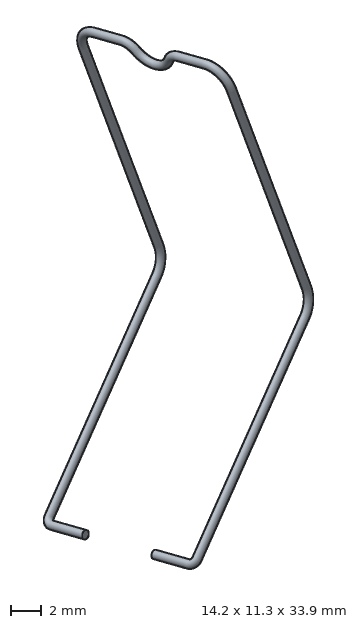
import cadquery as cq
import math

wire_diameter = 0.65
overall_width = 14.15
overall_height = 33.85
lower_height = 15.85
upper_height = overall_height - wire_diameter - lower_height
leg_x = (overall_width - wire_diameter) / 2

upper_tilt = math.radians(25)
lower_tilt = math.radians(35)
elbow_radius = 2.0
shoulder_radius = 1.65
foot_radius = 0.5
foot_gap = 6.33

dip_half_width = 2.6
dip_depth = 1.35
dip_radius = 1.83
dip_angle = 2 * math.atan(dip_depth / dip_half_width)
dip_entry_radius = dip_half_width / math.sin(dip_angle) - dip_radius


def upper_point(x, drop):
    """Point in the tilted upper plane, a distance below the top bar centreline."""
    z = upper_height - drop * math.cos(upper_tilt)
    y = elbow_radius / math.cos(upper_tilt) - z * math.tan(upper_tilt)
    return cq.Vector(x, y, z)


def lower_point(x, rise):
    """Point in the tilted lower plane, a distance above the foot centreline."""
    z = -lower_height + rise * math.cos(lower_tilt)
    y = elbow_radius / math.cos(lower_tilt) + z * math.tan(lower_tilt)
    return cq.Vector(x, y, z)


def elbow_point(angle):
    """Point on the elbow arc, at an angle above horizontal."""
    return cq.Vector(leg_x, elbow_radius * math.cos(angle), elbow_radius * math.sin(angle))


def dip_point(angle):
    """Point on the central dip arc, at an angle from its lowest point."""
    drop = dip_depth - dip_radius * (1 - math.cos(angle))
    return upper_point(dip_radius * math.sin(angle), drop)


def dip_entry_point(angle):
    """Point on the arc joining the bar to the dip, at an angle from the bar end."""
    x = dip_half_width - dip_entry_radius * math.sin(angle)
    return upper_point(x, dip_entry_radius * (1 - math.cos(angle)))


def corner_points(plane_point, radius):
    """Start, middle and end of a quarter bend from a horizontal run to the leg."""
    mid_offset = radius * (1 - math.sqrt(0.5))
    return (
        plane_point(leg_x - radius, 0),
        plane_point(leg_x - mid_offset, mid_offset),
        plane_point(leg_x, radius),
    )


def half_centreline():
    """Wire centreline on the +X side, from the dip bottom to the foot tip."""
    shoulder = corner_points(upper_point, shoulder_radius)
    foot = corner_points(lower_point, foot_radius)
    elbow_top = elbow_point(upper_tilt)
    elbow_mid = elbow_point((upper_tilt - lower_tilt) / 2)
    elbow_bottom = elbow_point(-lower_tilt)
    line = cq.Edge.makeLine
    arc = cq.Edge.makeThreePointArc
    return cq.Wire.assembleEdges([
        arc(dip_point(0), dip_point(dip_angle / 2), dip_point(dip_angle)),
        arc(dip_entry_point(dip_angle), dip_entry_point(dip_angle / 2), dip_entry_point(0)),
        line(dip_entry_point(0), shoulder[0]),
        arc(*shoulder),
        line(shoulder[2], elbow_top),
        arc(elbow_top, elbow_mid, elbow_bottom),
        line(elbow_bottom, foot[2]),
        arc(*reversed(foot)),
        line(foot[0], lower_point(foot_gap / 2, 0)),
    ])


section_plane = cq.Plane(origin=dip_point(0), xDir=(0, 1, 0), normal=(1, 0, 0))
half_clip = cq.Workplane(section_plane).circle(wire_diameter / 2).sweep(half_centreline())
result = half_clip.union(half_clip.mirror("YZ")).clean()